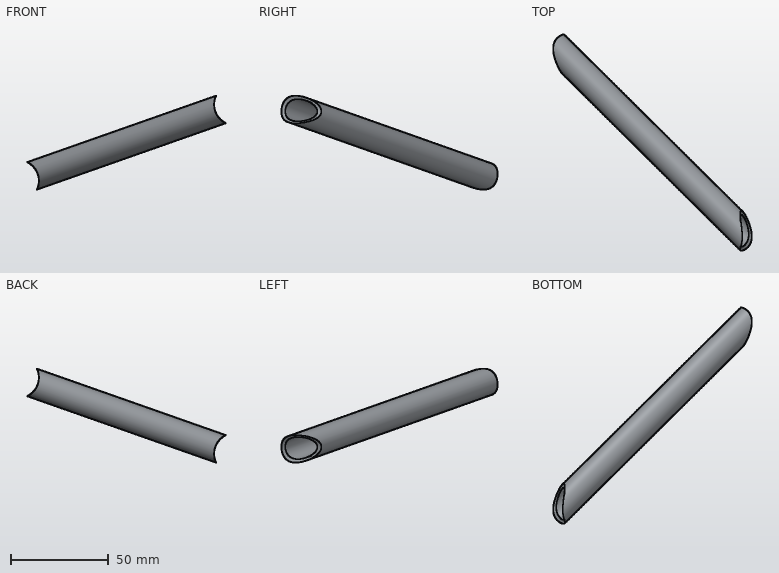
import cadquery as cq
import math

outer_diameter = 15.0
wall_thickness = 1.5

plan_angle = 44.77
rise_angle = 14.02

saddle_radius = 10.6
saddle_spacing = 161.08

tube_length = saddle_spacing
saddle_length = 4 * outer_diameter

plan_radians = math.radians(plan_angle)
rise_radians = math.radians(rise_angle)
tube_direction = cq.Vector(
    math.cos(rise_radians) * math.cos(plan_radians),
    -math.cos(rise_radians) * math.sin(plan_radians),
    math.sin(rise_radians),
)


def make_tube():
    """Hollow tube with square ends, its midpoint at the origin."""
    start = tube_direction * (-tube_length / 2)
    end_plane = cq.Plane(origin=start.toTuple(), normal=tube_direction.toTuple())
    outer_radius = outer_diameter / 2
    bore_radius = outer_radius - wall_thickness
    return cq.Workplane(end_plane).circle(outer_radius).circle(bore_radius).extrude(tube_length)


def make_saddle_cutter(side):
    """Cylinder along Y that hollows one end of the tube; side is -1 or +1."""
    centre = tube_direction * (side * saddle_spacing / 2)
    return (
        cq.Workplane("XZ", origin=centre.toTuple())
        .circle(saddle_radius)
        .extrude(saddle_length / 2, both=True)
    )


result = make_tube()
for side in (-1, 1):
    result = result.cut(make_saddle_cutter(side))